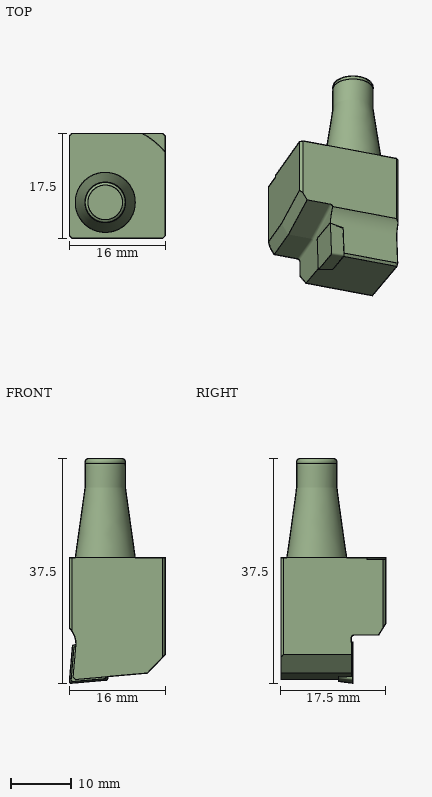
import cadquery as cq
import math

BLOCK_LEFT = -6.0
BLOCK_RIGHT = 10.0
BLOCK_FRONT = -6.0
BLOCK_BACK = 11.5
TIP_Z = -20.95
EDGE_CHAMFER = 0.45
CORNER_CHAMFER_X = 7.0
CORNER_CHAMFER_TOP = -16.15

SHANK_HEIGHT = 16.55
TAPER_DIAMETER = 10.0
TAPER_HEIGHT = 11.65
SHANK_DIAMETER = 6.75
NECK_TOP_DROP = 1.2

HEAD_FLAT_RADIUS = 2.9
BEAD_TOP_RADIUS = 3.15
BEAD_TOP_DROP = 0.15
BEAD_MIDDLE_DROP = 0.5
BEAD_BASE_RADIUS = 3.35
BEAD_BASE_DROP = 0.85

FACE_RADIUS = 13.05
FACE_STEP = 0.3

LEAN = 5.0
INSERT_SIDE = 6.45
INSERT_THICKNESS = 2.35
INSERT_RELIEF = 7.0
INSERT_NOSE_RADIUS = 0.3
INSERT_OVERHANG = 0.22
RAKE_Y = 6.0

NOSE_INSET = 0.6
NOSE_CHAMFER = 0.45
GULLET_RADIUS = 4.0
GULLET_TANGENT_Z = -14.8

CLEARANCE_WALL_Y = RAKE_Y - INSERT_OVERHANG
CLEARANCE_EDGE_Z = -11.32
CLEARANCE_DROP = 1.6
CLEARANCE_SLOPE = 10.0
CLEARANCE_ROUND = 0.45
BEVEL_BACK_Y = 10.3
BEVEL_RISE_PER_Y = 1.62

lean_sin = math.sin(math.radians(LEAN))
lean_cos = math.cos(math.radians(LEAN))
lean_tan = math.tan(math.radians(LEAN))


def make_insert():
    """Rhombic cutting insert, widest at its rake face and tapering toward -Y."""
    sharp_to_tip = INSERT_NOSE_RADIUS * (1 + lean_sin - lean_cos) / (lean_cos - lean_sin)
    tip_x = BLOCK_LEFT - sharp_to_tip
    tip_z = TIP_Z - sharp_to_tip
    long_step = INSERT_SIDE * lean_cos
    short_step = INSERT_SIDE * lean_sin
    return (
        cq.Workplane("XZ", origin=(0, RAKE_Y, 0))
        .moveTo(tip_x, tip_z)
        .lineTo(tip_x + long_step, tip_z + short_step)
        .lineTo(tip_x + long_step + short_step, tip_z + short_step + long_step)
        .lineTo(tip_x + short_step, tip_z + long_step)
        .close()
        .extrude(INSERT_THICKNESS, taper=INSERT_RELIEF)
        .edges("not #Y")
        .fillet(INSERT_NOSE_RADIUS)
    )


def make_shank():
    """Tapered shank with a short cylindrical neck and a beaded head."""
    neck_radius = SHANK_DIAMETER / 2
    return (
        cq.Workplane("XZ")
        .lineTo(TAPER_DIAMETER / 2, 0)
        .lineTo(neck_radius, TAPER_HEIGHT)
        .lineTo(neck_radius, SHANK_HEIGHT - NECK_TOP_DROP)
        .lineTo(BEAD_BASE_RADIUS, SHANK_HEIGHT - BEAD_BASE_DROP)
        .threePointArc(
            (neck_radius, SHANK_HEIGHT - BEAD_MIDDLE_DROP),
            (BEAD_TOP_RADIUS, SHANK_HEIGHT - BEAD_TOP_DROP),
        )
        .lineTo(HEAD_FLAT_RADIUS, SHANK_HEIGHT)
        .lineTo(0, SHANK_HEIGHT)
        .close()
        .revolve(360, (0, 0, 0), (0, 1, 0))
    )


def make_block():
    """Block extruded along Y, with the gullet and the inclined nose edges."""
    nose_x = BLOCK_LEFT + NOSE_INSET
    nose_z = TIP_Z + NOSE_INSET
    tangent_x = nose_x + (GULLET_TANGENT_Z - nose_z) * lean_tan
    center_x = tangent_x - GULLET_RADIUS * lean_cos
    center_z = GULLET_TANGENT_Z + GULLET_RADIUS * lean_sin
    gullet_top = center_z + math.sqrt(GULLET_RADIUS**2 - (BLOCK_LEFT - center_x) ** 2)
    end_angle = math.asin((gullet_top - center_z) / GULLET_RADIUS)
    middle_angle = (end_angle - math.radians(LEAN)) / 2
    arc_middle = (
        center_x + GULLET_RADIUS * math.cos(middle_angle),
        center_z + GULLET_RADIUS * math.sin(middle_angle),
    )
    chamfer_bottom = nose_z + (CORNER_CHAMFER_X - nose_x) * lean_tan
    profile = (
        cq.Workplane("XZ", origin=(0, BLOCK_BACK, 0))
        .moveTo(BLOCK_LEFT, 0)
        .lineTo(BLOCK_RIGHT, 0)
        .lineTo(BLOCK_RIGHT, CORNER_CHAMFER_TOP)
        .lineTo(CORNER_CHAMFER_X, chamfer_bottom)
        .lineTo(nose_x + NOSE_CHAMFER * lean_cos, nose_z + NOSE_CHAMFER * lean_sin)
        .lineTo(nose_x + NOSE_CHAMFER * lean_sin, nose_z + NOSE_CHAMFER * lean_cos)
        .lineTo(tangent_x, GULLET_TANGENT_Z)
        .threePointArc(arc_middle, (BLOCK_LEFT, gullet_top))
        .close()
        .extrude(BLOCK_BACK - BLOCK_FRONT)
    )
    return profile.edges("|Z").chamfer(EDGE_CHAMFER)


def make_clearance():
    """Space behind the rake face: its roof dips from the left side, then runs level."""
    below = TIP_Z - EDGE_CHAMFER
    run = CLEARANCE_DROP / math.tan(math.radians(CLEARANCE_SLOPE))
    depth_past_back = BLOCK_BACK + EDGE_CHAMFER
    bevel_top = CLEARANCE_EDGE_Z + (depth_past_back - BEVEL_BACK_Y) * BEVEL_RISE_PER_Y

    def roof_section(x, drop):
        """Outline in the YZ plane at x, with its roof lowered by drop."""
        roof = CLEARANCE_EDGE_Z - drop
        round_offset = CLEARANCE_ROUND * (1 - math.sqrt(0.5))
        return (
            cq.Workplane("YZ", origin=(x, 0, 0))
            .moveTo(CLEARANCE_WALL_Y, below)
            .lineTo(CLEARANCE_WALL_Y, roof - CLEARANCE_ROUND)
            .threePointArc(
                (CLEARANCE_WALL_Y + round_offset, roof - round_offset),
                (CLEARANCE_WALL_Y + CLEARANCE_ROUND, roof),
            )
            .lineTo(BEVEL_BACK_Y, roof)
            .lineTo(depth_past_back, bevel_top - drop)
            .lineTo(depth_past_back, below)
            .close()
        )

    ramp_wires = [
        roof_section(BLOCK_LEFT, 0).val(),
        roof_section(BLOCK_LEFT + run, CLEARANCE_DROP).val(),
    ]
    ramp = cq.Workplane(cq.Solid.makeLoft(ramp_wires, True))
    level = roof_section(BLOCK_LEFT + run, CLEARANCE_DROP).extrude(BLOCK_RIGHT - BLOCK_LEFT - run)
    return ramp.union(level)


def make_corner_step():
    """Shallow cut over the top of the block outside the turned face."""
    sheet_side = 4 * FACE_RADIUS
    return (
        cq.Workplane("XY", origin=(0, 0, -FACE_STEP))
        .rect(sheet_side, sheet_side)
        .circle(FACE_RADIUS)
        .extrude(FACE_STEP)
    )


insert = make_insert()
holder = make_block().cut(make_clearance()).cut(make_corner_step()).union(make_shank()).cut(insert)

result = cq.Compound.makeCompound([holder.val(), insert.val()])